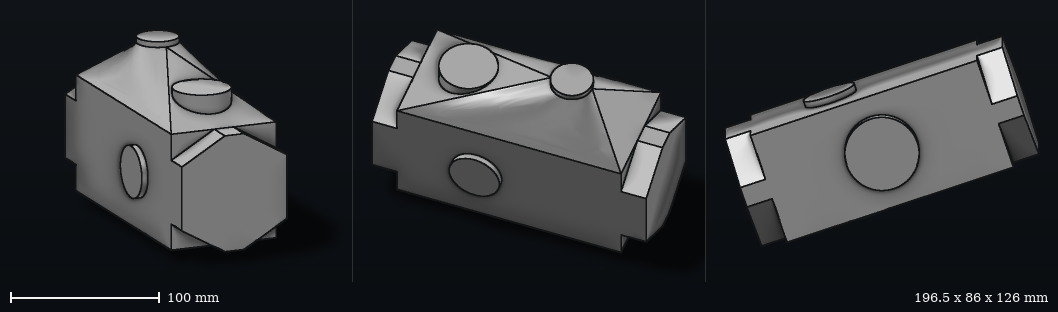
import cadquery as cq
import math

body_length = 196.5
body_width = 77.0
body_height = 81.0

end_length = 18.0
end_flat_width = 14.0
end_slope_angle = 30.0

hood_height = 31.5
neck_diameter = 29.0
neck_height = 4.0
neck_x = -30.75

top_boss_diameter = 40.0
top_boss_height = 19.0
top_boss_x = 43.25
side_boss_diameter = 36.0
side_boss_height = 4.5
side_boss_x = 23.25
bottom_boss_diameter = 50.0
bottom_boss_height = 9.5


def make_body():
    """Box with its four long edges sloped off over each end."""
    half_width = body_width / 2
    half_height = body_height / 2
    half_flat = end_flat_width / 2
    slope_drop = (half_width - half_flat) * math.tan(math.radians(end_slope_angle))
    shoulder = half_height - slope_drop
    end_outline = [
        (half_width, shoulder),
        (half_flat, half_height),
        (-half_flat, half_height),
        (-half_width, shoulder),
        (-half_width, -shoulder),
        (-half_flat, -half_height),
        (half_flat, -half_height),
        (half_width, -shoulder),
    ]
    centre_z = body_height / 2
    full_length_core = (
        cq.Workplane("YZ", origin=(0, 0, centre_z))
        .polyline(end_outline)
        .close()
        .extrude(body_length / 2, both=True)
    )
    middle = cq.Workplane("XY", origin=(0, 0, centre_z)).box(
        body_length - 2 * end_length, body_width, body_height
    )
    return middle.union(full_length_core)


def make_hood():
    """Solid blending the rectangular top of the body into the round neck.

    Each end is a flat triangle meeting the neck circle at one point;
    each side is a ruled surface from a long edge to half of the circle.
    """
    base_z = body_height
    neck_z = body_height + hood_height
    half_length = body_length / 2 - end_length
    half_width = body_width / 2
    neck_radius = neck_diameter / 2

    left_front = cq.Vector(-half_length, -half_width, base_z)
    right_front = cq.Vector(half_length, -half_width, base_z)
    right_back = cq.Vector(half_length, half_width, base_z)
    left_back = cq.Vector(-half_length, half_width, base_z)
    neck_left = cq.Vector(neck_x - neck_radius, 0, neck_z)
    neck_right = cq.Vector(neck_x + neck_radius, 0, neck_z)
    neck_front = cq.Vector(neck_x, -neck_radius, neck_z)
    neck_back = cq.Vector(neck_x, neck_radius, neck_z)

    front_arc = cq.Edge.makeThreePointArc(neck_left, neck_front, neck_right)
    back_arc = cq.Edge.makeThreePointArc(neck_left, neck_back, neck_right)
    front_edge = cq.Edge.makeLine(left_front, right_front)
    back_edge = cq.Edge.makeLine(left_back, right_back)

    base_corners = [left_front, right_front, right_back, left_back]
    faces = [
        cq.Face.makeFromWires(cq.Wire.makePolygon(base_corners, close=True)),
        cq.Face.makeFromWires(cq.Wire.makePolygon([left_front, left_back, neck_left], close=True)),
        cq.Face.makeFromWires(cq.Wire.makePolygon([right_front, right_back, neck_right], close=True)),
        cq.Face.makeRuledSurface(front_edge, front_arc),
        cq.Face.makeRuledSurface(back_edge, back_arc),
        cq.Face.makeFromWires(cq.Wire.assembleEdges([front_arc, back_arc])),
    ]
    return cq.Workplane(cq.Solid.makeSolid(cq.Shell.makeShell(faces)).fix())


def make_upright_cylinder(x, bottom_z, diameter, height):
    return cq.Workplane("XY", origin=(x, 0, bottom_z)).circle(diameter / 2).extrude(height)


def make_side_bosses():
    """One bar through the body that stands out as a boss on both long sides."""
    return (
        cq.Workplane("XZ", origin=(side_boss_x, 0, body_height / 2))
        .circle(side_boss_diameter / 2)
        .extrude(body_width / 2 + side_boss_height, both=True)
    )


neck = make_upright_cylinder(neck_x, body_height + hood_height, neck_diameter, neck_height)
top_boss = make_upright_cylinder(top_boss_x, body_height, top_boss_diameter, top_boss_height)
bottom_boss = make_upright_cylinder(0, -bottom_boss_height, bottom_boss_diameter, bottom_boss_height)

result = (
    make_body()
    .union(make_hood())
    .union(neck)
    .union(top_boss)
    .union(bottom_boss)
    .union(make_side_bosses())
)